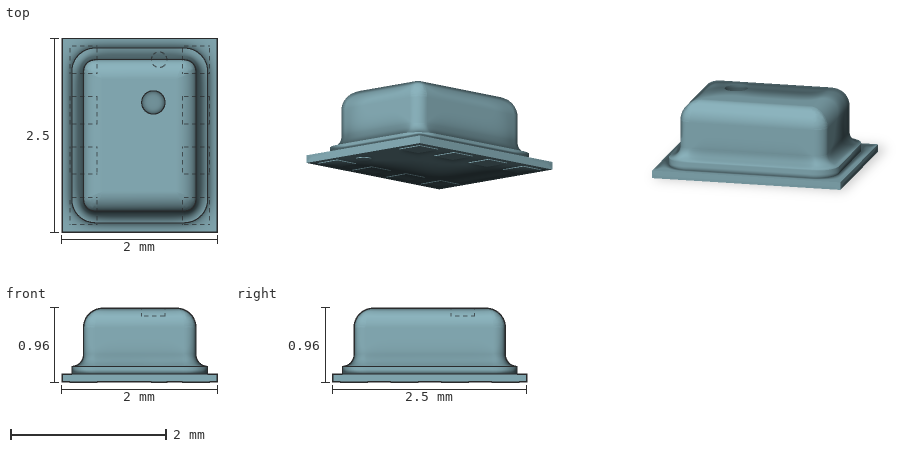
import cadquery as cq
import math

board_width = 2.0
board_length = 2.5
board_thickness = 0.1

pad_size = 0.35
pad_thickness = 0.01
pad_column_x = 0.725
pad_pitch = 0.65
pads_per_column = 4
mark_diameter = 0.2
mark_x = 0.25

lid_width = 1.45
lid_length = 1.95
lid_height = 0.85
lid_corner_radius = 0.15
lid_top_radius = 0.25
flange_thickness = 0.1
cove_radius = 0.15

vent_diameter = 0.3
vent_depth = 0.1
vent_x = 0.175
vent_y = 0.425

board_bottom = pad_thickness
board_top = board_bottom + board_thickness
flange_top = board_top + flange_thickness
lid_top = board_top + lid_height

flange_width = lid_width + 2 * cove_radius
flange_length = lid_length + 2 * cove_radius
flange_corner_radius = lid_corner_radius + cove_radius


def make_block(width, length, bottom, height):
    """Box centred on the Z axis, standing on the level `bottom`."""
    return cq.Workplane("XY").workplane(offset=bottom).rect(width, length).extrude(height)


def make_board():
    return make_block(board_width, board_length, board_bottom, board_thickness)


def make_underside():
    """Two columns of square pads and the round mark beside the first pad."""
    last_row_y = pad_pitch * (pads_per_column - 1) / 2
    pads = (
        cq.Workplane("XY")
        .rarray(2 * pad_column_x, pad_pitch, 2, pads_per_column)
        .rect(pad_size, pad_size)
        .extrude(pad_thickness)
    )
    mark = (
        cq.Workplane("XY")
        .center(mark_x, last_row_y)
        .circle(mark_diameter / 2)
        .extrude(pad_thickness)
    )
    return pads.union(mark)


def make_lid_body():
    """Lid block; the upright corner rounds run up the mitres of the larger top rounds."""
    block = make_block(lid_width, lid_length, board_top, lid_height)
    rounded_top = block.faces(">Z").edges().fillet(lid_top_radius)
    return rounded_top.edges("|Z").fillet(lid_corner_radius)


def make_flange():
    flange = make_block(flange_width, flange_length, board_top, flange_thickness)
    return flange.edges("|Z").fillet(flange_corner_radius)


def make_cove():
    """Concave round between the flange and the lid walls, swept around the lid outline."""
    outline = (
        make_block(lid_width, lid_length, flange_top, cove_radius)
        .edges("|Z")
        .fillet(lid_corner_radius)
        .faces("<Z")
        .wires()
        .val()
    )
    wall_y = -lid_length / 2
    rim_y = wall_y - cove_radius
    cove_top = flange_top + cove_radius
    arc_offset = cove_radius * math.sqrt(0.5)
    arc_middle = (rim_y + arc_offset, cove_top - arc_offset)
    profile = (
        cq.Workplane("YZ")
        .moveTo(wall_y, flange_top)
        .lineTo(rim_y, flange_top)
        .threePointArc(arc_middle, (wall_y, cove_top))
        .close()
    )
    return profile.sweep(cq.Workplane(outline), transition="right")


def make_vent():
    return (
        cq.Workplane("XY")
        .workplane(offset=lid_top - vent_depth)
        .center(vent_x, vent_y)
        .circle(vent_diameter / 2)
        .extrude(vent_depth)
    )


lid = make_flange().union(make_lid_body()).union(make_cove()).cut(make_vent())
result = make_board().union(make_underside()).union(lid)